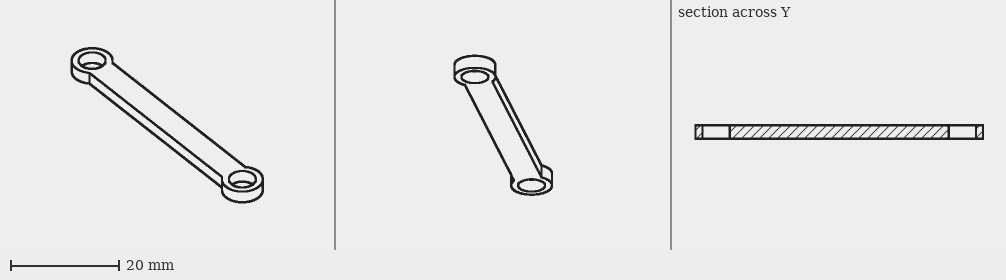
import cadquery as cq

length = 53.1
thickness = 2.5

eye_diameter = 7.6
hole_diameter = 5.0
eye_drop = 0.15
eye_x = (length - eye_diameter) / 2
eye_centers = [(-eye_x, eye_drop / 2), (eye_x, -eye_drop / 2)]

bar_width = 5.25


def disc(center, diameter):
    """Full-thickness cylinder standing on the base plane."""
    return cq.Workplane("XY").center(*center).circle(diameter / 2).extrude(thickness)


result = cq.Workplane("XY").rect(2 * eye_x, bar_width).extrude(thickness)

for center in eye_centers:
    result = result.union(disc(center, eye_diameter))

for center in eye_centers:
    result = result.cut(disc(center, hole_diameter))